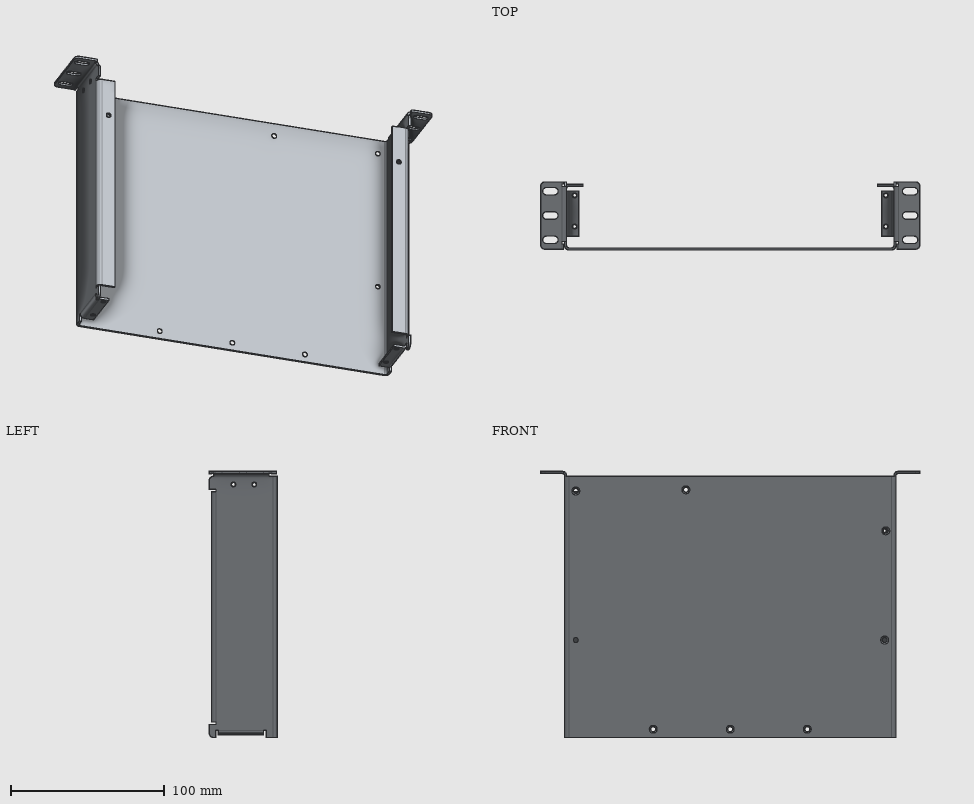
import cadquery as cq
import math

overall_width = 246.5
overall_depth = 44.4
overall_height = 173.0

sheet = 1.5
inner_bend = 1.5
outer_bend = inner_bend + sheet
corner_radius = 3.0
relief = 1.5
wall_leg = outer_bend + sheet

wall_outer_x = 107.7
wall_inner_x = wall_outer_x - sheet
wall_height = 169.8

flange_front_y = 0.5
flange_depth = overall_depth - flange_front_y
flange_centre_y = flange_front_y + flange_depth / 2
flange_inner_x = 108.2
neck_front_y = 5.5
neck_back_y = 41.5
slot_count = 3
slot_length = 9.9
slot_width = 4.7
slot_edge_margin = 1.5
slot_pitch = 15.8

back_tab_setback = 1.5
lower_tab_z = 1.7
back_tab_y = overall_depth - back_tab_setback
back_tab_bottom_z = 10.0
back_tab_top_z = 159.7
back_tab_end_x = 95.5
lower_tab_front_y = 8.9
lower_tab_back_y = 38.5
lower_tab_end_x = 98.3

hole_diameter = 3.2
tapped_diameter = 2.5
tapped_mouth_diameter = 3.2
countersink_diameter = 5.2
countersink_angle = 90.0
side_hole_x = 100.3
side_hole_low_z = 63.3
back_tab_hole_z = 134.3
lower_row_z = 5.5
lower_row_pitch = 50.0
countersunk_holes = [
    (-side_hole_x, 160.2),
    (-28.8, 161.0),
    (101.0, back_tab_hole_z),
    (side_hole_x, side_hole_low_z),
    (-lower_row_pitch, lower_row_z),
    (0, lower_row_z),
    (lower_row_pitch, lower_row_z),
]
plain_hole = (-side_hole_x, side_hole_low_z)
back_tab_hole_x = 100.0
lower_tab_hole_x = 101.0
lower_tab_holes_y = (15.3, 35.5)
wall_holes_y = (15.0, 28.5)
wall_holes_z = 164.4


def box(x_range, y_range, z_range):
    """Axis-aligned block between the given limits."""
    size = [high - low for low, high in (x_range, y_range, z_range)]
    corner = (x_range[0], y_range[0], z_range[0])
    return cq.Workplane("XY").box(*size, centered=False).translate(corner)


def bent_strip(plane, corner, leg_u, leg_v, length):
    """L-shaped strip with a rounded bend; the signed legs run from the sharp outer corner."""
    side_u = math.copysign(1, leg_u)
    side_v = math.copysign(1, leg_v)
    arc_middle_outer = outer_bend * (1 - math.sqrt(0.5))
    arc_middle_inner = outer_bend - inner_bend * math.sqrt(0.5)

    def at(u, v):
        return (corner[0] + side_u * u, corner[1] + side_v * v)

    end_u = abs(leg_u)
    end_v = abs(leg_v)
    return (
        cq.Workplane(plane)
        .moveTo(*at(end_u, 0))
        .lineTo(*at(outer_bend, 0))
        .threePointArc(at(arc_middle_outer, arc_middle_outer), at(0, outer_bend))
        .lineTo(*at(0, end_v))
        .lineTo(*at(sheet, end_v))
        .lineTo(*at(sheet, outer_bend))
        .threePointArc(at(arc_middle_inner, arc_middle_inner), at(outer_bend, sheet))
        .lineTo(*at(end_u, sheet))
        .close()
        .extrude(length)
    )


def half_channel():
    """Right half of the base plate with its side wall, relieved for the folded tabs."""
    half = bent_strip("XY", (wall_outer_x, 0), -wall_outer_x, overall_depth, wall_height)
    half = half.edges("|X and >Y").fillet(corner_radius)
    wall_x = (wall_inner_x, wall_outer_x)
    back_relief = box(
        wall_x,
        (back_tab_y - outer_bend, overall_depth),
        (back_tab_bottom_z - relief, back_tab_top_z + relief),
    )
    lower_relief = box(
        wall_x,
        (lower_tab_front_y - relief, lower_tab_back_y + relief),
        (0, lower_tab_z + outer_bend),
    )
    return half.cut(back_relief).cut(lower_relief)


def mounting_flange():
    """Slotted flange joined to the wall by a narrower neck, relieved at both ends of the neck."""
    bend_end_x = wall_inner_x + outer_bend
    flange_end_x = overall_width / 2
    flange = bent_strip(
        cq.Plane((0, overall_depth, 0), (1, 0, 0), (0, -1, 0)),
        (wall_inner_x, overall_height),
        flange_end_x - wall_inner_x,
        -wall_leg,
        flange_depth,
    )
    flange = flange.edges("|Z and >X").fillet(corner_radius)
    bend_z = (overall_height - wall_leg, overall_height)
    beside_neck = (wall_inner_x, flange_inner_x)
    bend_x = (wall_inner_x, bend_end_x)
    flange = (
        flange.cut(box(beside_neck, (flange_front_y, neck_front_y), bend_z))
        .cut(box(beside_neck, (neck_back_y, overall_depth), bend_z))
        .cut(box(bend_x, (neck_front_y - relief, neck_front_y), bend_z))
        .cut(box(bend_x, (neck_back_y, neck_back_y + relief), bend_z))
    )
    slot_centre_x = flange_end_x - slot_edge_margin - slot_length / 2
    slots = (
        cq.Workplane("XY", origin=(slot_centre_x, flange_centre_y, overall_height - sheet))
        .rarray(2.5, slot_pitch, 1, slot_count)
        .slot2D(slot_length, slot_width)
        .extrude(sheet)
    )
    return flange.cut(slots)


def tapped_hole(origin, direction):
    """Cutter for a hole through one sheet thickness, with a small chamfer at both mouths."""
    mouth_radius = tapped_mouth_diameter / 2
    chamfer = (tapped_mouth_diameter - tapped_diameter) / 2
    bore = cq.Solid.makeCylinder(tapped_diameter / 2, sheet)
    entry = cq.Solid.makeCone(mouth_radius, mouth_radius - chamfer, chamfer)
    leave = cq.Solid.makeCone(
        mouth_radius - chamfer, mouth_radius, chamfer, pnt=cq.Vector(0, 0, sheet - chamfer)
    )
    cutter = bore.fuse(entry, leave)
    return cutter.moved(cq.Plane(origin, normal=direction).location)


def back_tab():
    """Long tab along the back edge of the wall, with one tapped hole."""
    tab = bent_strip(
        cq.Plane((0, 0, back_tab_bottom_z)),
        (wall_outer_x, back_tab_y),
        back_tab_end_x - wall_outer_x,
        -wall_leg,
        back_tab_top_z - back_tab_bottom_z,
    )
    hole = tapped_hole((back_tab_hole_x, back_tab_y, back_tab_hole_z), (0, -1, 0))
    return tab.cut(cq.Workplane(hole))


def lower_tab():
    """Short tab along the lower edge of the wall, with two holes."""
    tab = bent_strip(
        cq.Plane((0, lower_tab_back_y, 0), (1, 0, 0), (0, -1, 0)),
        (wall_outer_x, lower_tab_z),
        lower_tab_end_x - wall_outer_x,
        wall_leg,
        lower_tab_back_y - lower_tab_front_y,
    )
    for hole_y in lower_tab_holes_y:
        hole = tapped_hole((lower_tab_hole_x, hole_y, lower_tab_z), (0, 0, 1))
        tab = tab.cut(cq.Workplane(hole))
    return tab


right_half = half_channel().union(mounting_flange()).union(back_tab()).union(lower_tab())
for wall_hole_y in wall_holes_y:
    wall_hole = tapped_hole((wall_inner_x, wall_hole_y, wall_holes_z), (1, 0, 0))
    right_half = right_half.cut(cq.Workplane(wall_hole))
bracket = right_half.union(right_half.mirror("YZ"))

bracket = (
    bracket.copyWorkplane(cq.Workplane("XZ"))
    .pushPoints(countersunk_holes)
    .cskHole(hole_diameter, countersink_diameter, countersink_angle, depth=sheet)
)
result = (
    bracket.copyWorkplane(cq.Workplane("XZ"))
    .pushPoints([plain_hole])
    .hole(hole_diameter, depth=sheet)
)